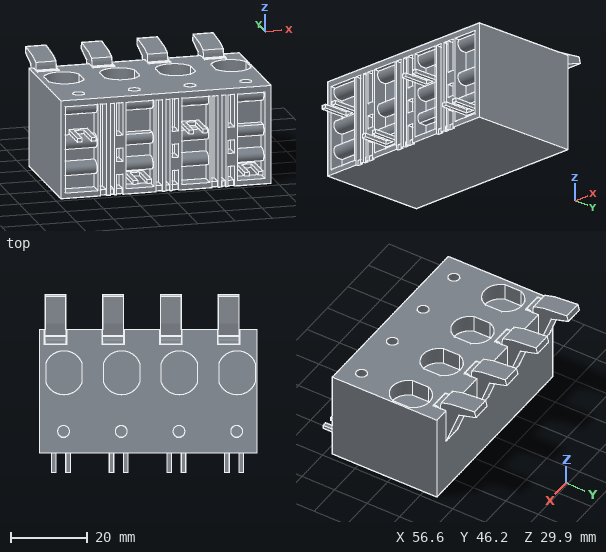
import cadquery as cq

HOUSING_WIDTH = 56.6
HOUSING_DEPTH = 32.15
HOUSING_HEIGHT = 26.5
POLE_COUNT = 4
POLE_PITCH = 15.0

CAVITY_FLOOR = 1.45
CAVITY_ROOF = 24.8
CAVITY_DEPTH = 4.0
CAVITY_HEIGHT = CAVITY_ROOF - CAVITY_FLOOR
FIRST_CAVITY_LEFT = 1.25
INNER_CAVITY_OFFSET = 2.55
INNER_CAVITY_WIDTH = 7.5
CAVITY_TO_SLOT = 0.6
RIGHT_WALL = 1.7

BAR_RADIUS = 1.75
BAR_AXIS_Y = 2.85
LOW_BAR_Z = 7.2
MIDDLE_BAR_Z = 14.25
HIGH_BAR_Z = 23.65
MIDDLE_BAR_FLAT_TOP = 15.6
LOW_BAR_FLAT_BOTTOM = 5.8

WIDE_SLOT_LEFT = 10.65
WIDE_SLOT_WIDTH = 1.7
NARROW_SLOT_LEFT = 13.35
NARROW_SLOT_WIDTH = 1.0
WEBBED_SLOT_LEFT = 15.0
SLOT_DEPTH = CAVITY_DEPTH
SLOT_MOUTH_DEPTH = 0.7

WIRE_HOLE_X = 6.4
WIRE_HOLE_Y = 20.9
WIRE_HOLE_WIDTH = 9.45
WIRE_HOLE_LENGTH = 11.45
WIRE_HOLE_FLANK = 4.85
WIRE_HOLE_DEPTH = 5.0
TEST_HOLE_X = 6.3
TEST_HOLE_Y = 5.65
TEST_HOLE_DIAMETER = 3.05
TEST_HOLE_DEPTH = WIRE_HOLE_DEPTH

LEVER_LEFT = 1.45
LEVER_WIDTH = 5.45
LEVER_CLEARANCE = 0.2
LEVER_SLOT_FRONT = 28.2
LEVER_BOTTOM = 16.0
LEVER_FRONT = 28.4
LEVER_STEP_TOP = 26.65
LEVER_STEP_ROUND = 1.15
LEVER_UNDERCUT = 0.45
LEVER_UNDERCUT_HEIGHT = 0.9
LEVER_TOP = 29.9
LEVER_TIP = 41.2

STEP_TOP_REAR = (29.0, LEVER_STEP_TOP)
STEP_ROUND_END = (29.8, 26.25)
VALLEY = (30.25, 25.7)
NECK_CREASE = (30.3, 27.3)
HEAD_FRONT = (30.55, 28.35)
HEAD_CREASE = (33.6, 29.2)
HEAD_TOP_REAR = (40.75, LEVER_TOP)
HEAD_TIP = (LEVER_TIP, 28.1)
HEAD_UNDERSIDE = (35.95, 26.55)

PIN_LEFT = 3.1
PIN_WIDTH = 5.0
PRONG_WIDTH = 1.25
PIN_THICKNESS = 1.0
PIN_OVERHANG = 5.05
PIN_TO_BACK_WALL = 0.35
UPPER_PIN_BOTTOM = 16.45
LOWER_PIN_BOTTOM = 3.95


def box(left, front, bottom, width, depth, height):
    """Box given by its left, front, bottom corner and its size."""
    return cq.Workplane("XY").box(width, depth, height, centered=False).translate((left, front, bottom))


def make_bar(left, width, axis_z):
    """Round-fronted bar that runs along X and joins the cavity's back wall."""
    nose = (
        cq.Workplane("YZ", origin=(left, 0, 0))
        .center(BAR_AXIS_Y, axis_z)
        .circle(BAR_RADIUS)
        .extrude(width)
    )
    root = box(left, BAR_AXIS_Y, axis_z - BAR_RADIUS, width, CAVITY_DEPTH - BAR_AXIS_Y, 2 * BAR_RADIUS)
    return nose.union(root)


def make_cavity(pole):
    """Space of one front cavity, with the room of its three bars left out."""
    origin = pole * POLE_PITCH
    first = pole == 0
    left = FIRST_CAVITY_LEFT if first else origin + INNER_CAVITY_OFFSET
    right = origin + WIDE_SLOT_LEFT - CAVITY_TO_SLOT if first else left + INNER_CAVITY_WIDTH
    width = min(right, HOUSING_WIDTH - RIGHT_WALL) - left

    low_bar = make_bar(left, width, LOW_BAR_Z)
    middle_bar = make_bar(left, width, MIDDLE_BAR_Z)
    high_bar = make_bar(left, width, HIGH_BAR_Z)
    if not first:
        kept_height = MIDDLE_BAR_FLAT_TOP - LOW_BAR_FLAT_BOTTOM
        kept = box(left, 0, LOW_BAR_FLAT_BOTTOM, width, CAVITY_DEPTH, kept_height)
        low_bar = low_bar.intersect(kept)
        middle_bar = middle_bar.intersect(kept)

    cavity = box(left, 0, CAVITY_FLOOR, width, CAVITY_DEPTH, CAVITY_HEIGHT)
    return cavity.cut(low_bar).cut(middle_bar).cut(high_bar)


def make_slot(left, width):
    """Upright front slot that opens through the bottom wall by a shallower mouth."""
    slot = box(left, 0, CAVITY_FLOOR, width, SLOT_DEPTH, CAVITY_HEIGHT)
    mouth = box(left, 0, 0, width, SLOT_MOUTH_DEPTH, CAVITY_FLOOR)
    return slot.union(mouth)


def make_webbed_slot(left):
    """Upright slot interrupted by two webs level with the bars beside it."""
    slot = make_slot(left, WIDE_SLOT_WIDTH)
    for web_z in (LOW_BAR_Z, MIDDLE_BAR_Z):
        web = box(left, 0, web_z - BAR_RADIUS, WIDE_SLOT_WIDTH, SLOT_DEPTH, 2 * BAR_RADIUS)
        slot = slot.cut(web)
    return slot


def make_wire_hole(center_x):
    """Oblong wire opening: two straight flanks joined by arcs at both ends."""
    half_width = WIRE_HOLE_WIDTH / 2
    half_length = WIRE_HOLE_LENGTH / 2
    half_flank = WIRE_HOLE_FLANK / 2
    return (
        cq.Workplane("XY", origin=(center_x, WIRE_HOLE_Y, HOUSING_HEIGHT))
        .moveTo(half_width, -half_flank)
        .lineTo(half_width, half_flank)
        .threePointArc((0, half_length), (-half_width, half_flank))
        .lineTo(-half_width, -half_flank)
        .threePointArc((0, -half_length), (half_width, -half_flank))
        .close()
        .extrude(-WIRE_HOLE_DEPTH)
    )


def make_test_hole(center_x):
    """Round test-probe hole in the top face."""
    return (
        cq.Workplane("XY", origin=(center_x, TEST_HOLE_Y, HOUSING_HEIGHT))
        .circle(TEST_HOLE_DIAMETER / 2)
        .extrude(-TEST_HOLE_DEPTH)
    )


def make_lever_slot(origin):
    """Slot for one lever, open to the top and the rear."""
    return box(
        origin + LEVER_LEFT - LEVER_CLEARANCE,
        LEVER_SLOT_FRONT,
        LEVER_BOTTOM,
        LEVER_WIDTH + 2 * LEVER_CLEARANCE,
        HOUSING_DEPTH - LEVER_SLOT_FRONT,
        HOUSING_HEIGHT - LEVER_BOTTOM,
    )


def make_housing():
    """Block with cavities, slots, top holes and lever slots."""
    housing = box(0, 0, 0, HOUSING_WIDTH, HOUSING_DEPTH, HOUSING_HEIGHT)
    for pole in range(POLE_COUNT):
        origin = pole * POLE_PITCH
        housing = housing.cut(make_cavity(pole))
        housing = housing.cut(make_wire_hole(origin + WIRE_HOLE_X))
        housing = housing.cut(make_test_hole(origin + TEST_HOLE_X))
        housing = housing.cut(make_lever_slot(origin))
    for gap in range(POLE_COUNT - 1):
        origin = gap * POLE_PITCH
        housing = housing.cut(make_slot(origin + WIDE_SLOT_LEFT, WIDE_SLOT_WIDTH))
        housing = housing.cut(make_slot(origin + NARROW_SLOT_LEFT, NARROW_SLOT_WIDTH))
        housing = housing.cut(make_webbed_slot(origin + WEBBED_SLOT_LEFT))
    return housing


def make_lever(origin):
    """Release lever: side profile in Y and Z, extruded along X."""
    return (
        cq.Workplane("YZ", origin=(origin + LEVER_LEFT, 0, 0))
        .moveTo(LEVER_FRONT + LEVER_UNDERCUT, LEVER_BOTTOM)
        .lineTo(LEVER_FRONT + LEVER_UNDERCUT, LEVER_STEP_TOP - LEVER_UNDERCUT_HEIGHT)
        .lineTo(LEVER_FRONT, LEVER_STEP_TOP)
        .lineTo(*STEP_TOP_REAR)
        .radiusArc(STEP_ROUND_END, LEVER_STEP_ROUND)
        .lineTo(*VALLEY)
        .lineTo(*NECK_CREASE)
        .lineTo(*HEAD_FRONT)
        .lineTo(*HEAD_CREASE)
        .lineTo(*HEAD_TOP_REAR)
        .lineTo(*HEAD_TIP)
        .lineTo(*HEAD_UNDERSIDE)
        .lineTo(HOUSING_DEPTH, LEVER_BOTTOM)
        .close()
        .extrude(LEVER_WIDTH)
    )


def make_pin(origin, bottom):
    """Forked contact: two prongs joined by a bridge near the cavity's back wall."""
    left = origin + PIN_LEFT
    length = PIN_OVERHANG + CAVITY_DEPTH - PIN_TO_BACK_WALL
    fork = box(left, -PIN_OVERHANG, bottom, PIN_WIDTH, length, PIN_THICKNESS)
    gap = box(
        left + PRONG_WIDTH,
        -PIN_OVERHANG,
        bottom,
        PIN_WIDTH - 2 * PRONG_WIDTH,
        length - PRONG_WIDTH,
        PIN_THICKNESS,
    )
    return fork.cut(gap)


housing = make_housing()
levers = [make_lever(pole * POLE_PITCH) for pole in range(POLE_COUNT)]

pins = []
for pole in range(POLE_COUNT):
    bottom = UPPER_PIN_BOTTOM if pole % 2 == 0 else LOWER_PIN_BOTTOM
    pins.append(make_pin(pole * POLE_PITCH, bottom))

result = cq.Compound.makeCompound(
    [housing.val(), *[lever.val() for lever in levers], *[pin.val() for pin in pins]]
)